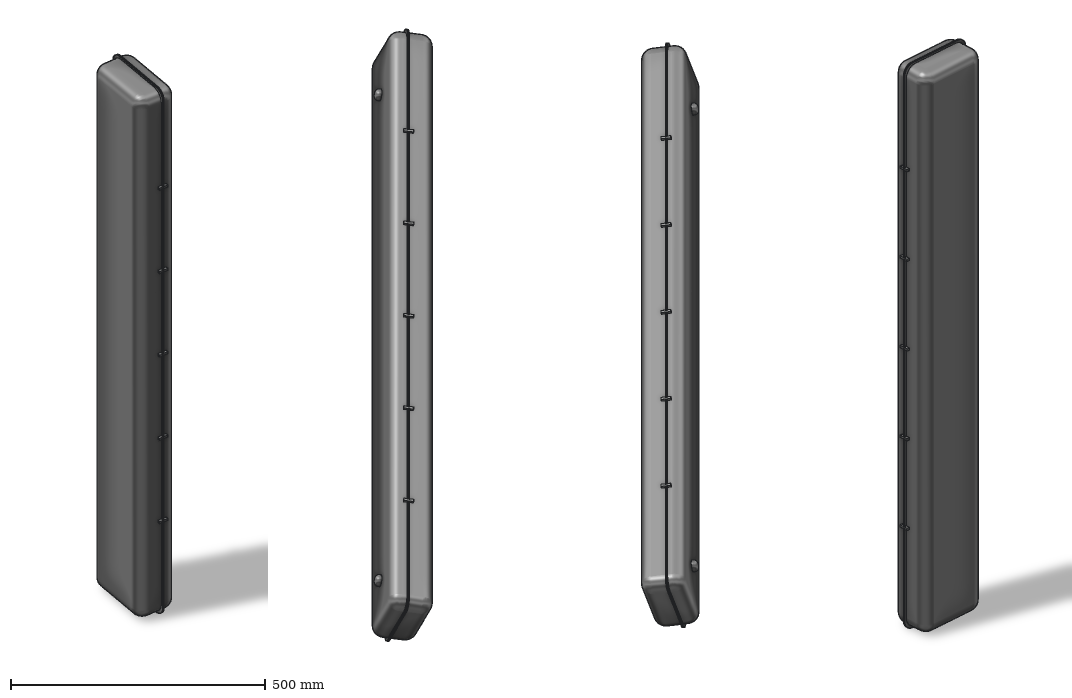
import cadquery as cq

shell_width = 160.0
shell_length = 1280.0
edge_radius = 25.0
cover_face_radius = 24.5
base_face_radius = 23.0
cover_depth = 55.6
base_depth = 34.4

flange_overhang = 4.0
flange_thickness = 4.0
flange_corner_radius = 22.0
flange_width = shell_width + 2 * flange_overhang
flange_length = shell_length + 2 * flange_overhang

overall_width = 172.0
clip_reach = (overall_width - shell_width) / 2
clip_depth = 20.0
clip_offset = -0.5
clip_middle_level = 2.0
clip_height = 5.0
clip_pitch = 204.5
clip_count = 5

overall_depth = 101.29
stud_height = overall_depth - cover_depth - base_depth
stud_radius = 12.0
stud_rim_radius = 8.5
stud_levels = (527.0, -548.0)


def centred_block(width, length, y_front, y_back):
    """Block centred in X and Z, between two Y levels."""
    depth = y_back - y_front
    block = cq.Workplane("XY").box(width, depth, length)
    return block.translate((0, (y_front + y_back) / 2, 0))


def make_half(y_front, y_back, outer_face, face_radius):
    """Half of the shell, rounded everywhere except at the parting plane."""
    half = centred_block(shell_width, shell_length, y_front, y_back)
    half = half.edges("|Y").fillet(edge_radius)
    return half.faces(outer_face).edges().fillet(face_radius)


def make_flange(y_front, y_back):
    """Plate with rounded corners, reaching past the shell all around."""
    flange = centred_block(flange_width, flange_length, y_front, y_back)
    return flange.edges("|Y").fillet(flange_corner_radius)


def make_clips():
    """Clip blocks standing on both long side walls, astride the flange."""
    middle = (clip_count - 1) / 2
    places = []
    for side in (-1, 1):
        for index in range(clip_count):
            x = side * (shell_width + clip_reach) / 2
            places.append((x, clip_offset, clip_middle_level + (index - middle) * clip_pitch))
    return cq.Workplane("XY").pushPoints(places).box(clip_reach, clip_depth, clip_height)


def make_stud(level):
    """Round stud with a rounded rim, on the back face of the base."""
    stud = cq.Workplane("XZ", origin=(0, base_depth, level)).circle(stud_radius).extrude(-stud_height)
    return stud.faces(">Y").edges().fillet(stud_rim_radius)


clips = make_clips()

cover = make_half(-cover_depth, 0, "<Y", cover_face_radius).union(make_flange(-flange_thickness / 2, 0))
cover = cover.cut(clips)

base = make_half(0, base_depth, ">Y", base_face_radius).union(make_flange(0, flange_thickness / 2))
base = base.union(clips)
for level in stud_levels:
    base = base.union(make_stud(level))

result = cq.Compound.makeCompound([cover.val(), base.val()])